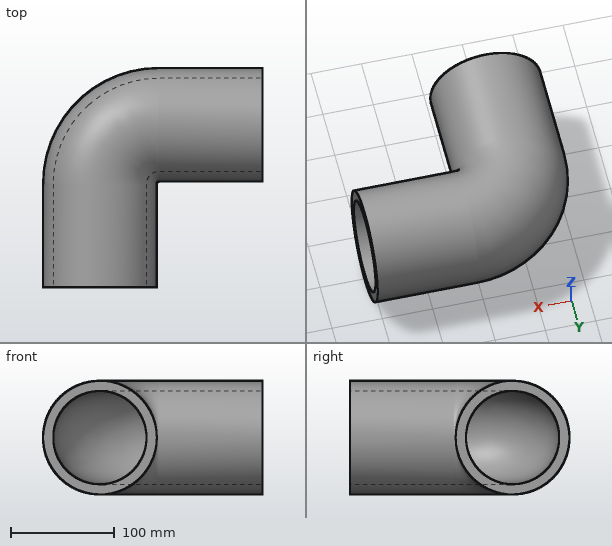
import cadquery as cq
import math

overall_length = 212.0
outer_diameter = 110.0
bore_diameter = 90.0
leg_length = 100.0

leg_reach = overall_length - outer_diameter / 2
bend_radius = leg_reach - leg_length


def elbow(diameter):
    """Solid round bar: a leg along -Y, a quarter bend, then a leg along +X."""
    arc_offset = bend_radius * (1 - math.sqrt(0.5))
    path = (
        cq.Workplane("XY")
        .moveTo(0, -leg_reach)
        .lineTo(0, -bend_radius)
        .threePointArc((arc_offset, -arc_offset), (bend_radius, 0))
        .lineTo(leg_reach, 0)
    )
    return cq.Workplane("XZ", origin=(0, -leg_reach, 0)).circle(diameter / 2).sweep(path)


result = elbow(outer_diameter).cut(elbow(bore_diameter))